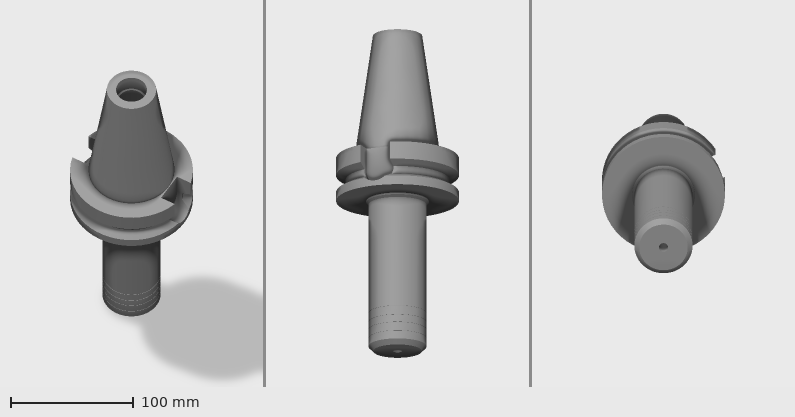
import cadquery as cq

overall_length = 266.8

taper_length = 102.0
gauge_radius = 35.0
taper_ratio = 7 / 24
taper_end_radius = gauge_radius - taper_length * taper_ratio / 2

flange_radius = 100.0 / 2
flange_top = -1.5
flange_thickness = 36.3
upper_rim_depth = 14.7
groove_top_depth = 18.7
groove_bottom_depth = 24.8
lower_rim_depth = 28.8
groove_floor_radius = 42.5

slot_width = 25.5
slot_depth = 32.0
slot_floor_x = 35.5

shank_radius = 23.7
collar_radius = 25.5
collar_height = 3.2
collar_chamfer = collar_radius - shank_radius

nut_chamfer = 4.0
ring_groove_heights = (10.7, 18.0, 24.3, 31.7)
ring_groove_width = 0.5
ring_groove_depth = 0.3

counterbore_radius = 12.5
counterbore_depth = 14.0
pocket_radius = 11.0
pocket_depth = 80.0
through_radius = 3.7

flange_bottom = flange_top - flange_thickness
part_bottom = taper_length - overall_length


def cylinder_down(radius, top, depth):
    """Cylinder on the Z axis that reaches down from the given top height."""
    return cq.Workplane("XY").workplane(offset=top).circle(radius).extrude(-depth)


def make_body():
    """Revolved taper, flange, shank and nut."""
    outline = [
        (0, taper_length),
        (taper_end_radius, taper_length),
        (gauge_radius, 0),
        (gauge_radius, flange_top),
        (flange_radius, flange_top),
        (flange_radius, flange_top - upper_rim_depth),
        (groove_floor_radius, flange_top - groove_top_depth),
        (groove_floor_radius, flange_top - groove_bottom_depth),
        (flange_radius, flange_top - lower_rim_depth),
        (flange_radius, flange_bottom),
        (collar_radius, flange_bottom),
        (collar_radius, flange_bottom - collar_height + collar_chamfer),
        (shank_radius, flange_bottom - collar_height),
        (shank_radius, part_bottom + nut_chamfer),
        (shank_radius - nut_chamfer, part_bottom),
        (0, part_bottom),
    ]
    return cq.Workplane("XZ").polyline(outline).close().revolve(360, (0, 0), (0, 1))


def make_drive_slot(side):
    """Round-bottomed slot, open at the top and outside, on the +X (1) or -X (-1) side."""
    half_width = slot_width / 2
    slot_bottom = flange_top - slot_depth
    arc_center = slot_bottom + half_width
    return (
        cq.Workplane("YZ", origin=(side * slot_floor_x, 0, 0))
        .moveTo(-half_width, flange_top)
        .lineTo(-half_width, arc_center)
        .threePointArc((0, slot_bottom), (half_width, arc_center))
        .lineTo(half_width, flange_top)
        .close()
        .extrude(side * flange_radius)
    )


def make_ring_groove(height):
    """Shallow ring around the nut, centered at a height above the bottom."""
    top = part_bottom + height + ring_groove_width / 2
    outer = cylinder_down(shank_radius, top, ring_groove_width)
    core = cylinder_down(shank_radius - ring_groove_depth, top, ring_groove_width)
    return outer.cut(core)


def make_bore():
    """Counterbore and flat-bottomed pocket in the taper end, with a hole through the part."""
    return (
        cylinder_down(through_radius, taper_length, overall_length)
        .union(cylinder_down(pocket_radius, taper_length, pocket_depth))
        .union(cylinder_down(counterbore_radius, taper_length, counterbore_depth))
    )


result = make_body().cut(make_bore())
for slot_side in (-1, 1):
    result = result.cut(make_drive_slot(slot_side))
for groove_height in ring_groove_heights:
    result = result.cut(make_ring_groove(groove_height))